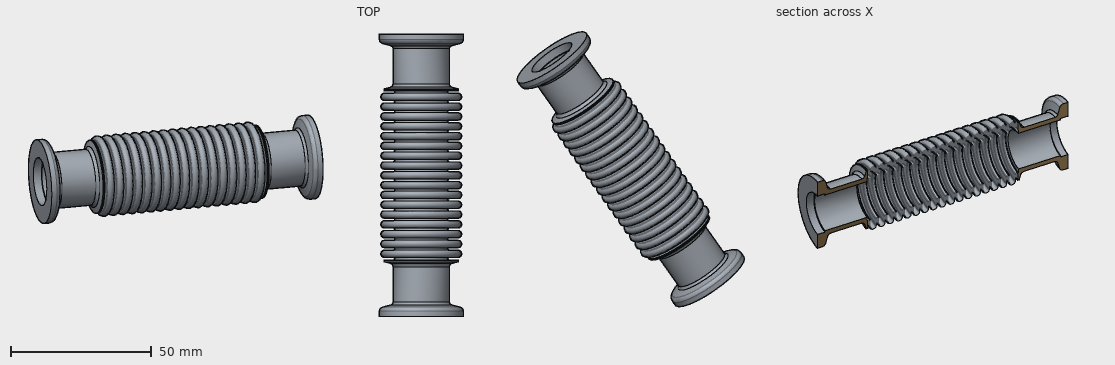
import cadquery as cq
import math

TOTAL_LENGTH = 100.4
BORE_RADIUS = 16.0 / 2

FLANGE_RADIUS = 30.0 / 2
FLANGE_RIM_FILLET = 1.5
TUBE_RADIUS = 20.1 / 2
TAPER_ANGLE = 15.0
TAPER = math.tan(math.radians(TAPER_ANGLE))
FLANGE_BACK_LENGTH = 4.4
FLANGE_FOOT_FILLET = 1.0
HUB_RADIUS = 26.3 / 2
HUB_RIM_LENGTH = 0.4
HUB_FOOT_FILLET = 1.2
FITTING_LENGTH = 19.9
RECESS_RADIUS = 17.2 / 2
RECESS_DEPTH = 3.0

WALL = 0.3
CONVOLUTION_COUNT = 17
CREST_RADIUS = 28.8 / 2
ROOT_RADIUS = 19.0 / 2
GROOVE_WIDTH = 0.8
BELLOWS_LENGTH = TOTAL_LENGTH - 2 * FITTING_LENGTH
GROOVE_COUNT = CONVOLUTION_COUNT + 1
CONVOLUTION_WIDTH = (BELLOWS_LENGTH - 2 * WALL - GROOVE_COUNT * GROOVE_WIDTH) / CONVOLUTION_COUNT
PITCH = CONVOLUTION_WIDTH + GROOVE_WIDTH

SELECTION_MARGIN = 0.01


def revolve_about_y(profile):
    return profile.close().revolve(360, (0, 0, 0), (0, 1, 0))


def circle_edges(body, radius, y):
    """Circular edges of the body with the given radius, lying in the plane at y."""
    return body.edges(
        cq.selectors.BoxSelector(
            (-radius - SELECTION_MARGIN, y - SELECTION_MARGIN, -radius - SELECTION_MARGIN),
            (radius + SELECTION_MARGIN, y + SELECTION_MARGIN, radius + SELECTION_MARGIN),
            boundingbox=True,
        )
    )


def make_fitting():
    """End fitting with its flange face at y = -TOTAL_LENGTH / 2."""
    face = -TOTAL_LENGTH / 2
    inner_end = face + FITTING_LENGTH
    flange_foot = face + FLANGE_BACK_LENGTH
    flange_edge = flange_foot - (FLANGE_RADIUS - TUBE_RADIUS) * TAPER
    hub_edge = inner_end - HUB_RIM_LENGTH
    hub_foot = hub_edge - (HUB_RADIUS - TUBE_RADIUS) * TAPER
    fitting = revolve_about_y(
        cq.Workplane("XY")
        .moveTo(RECESS_RADIUS, face)
        .lineTo(FLANGE_RADIUS, face)
        .lineTo(FLANGE_RADIUS, flange_edge)
        .lineTo(TUBE_RADIUS, flange_foot)
        .lineTo(TUBE_RADIUS, hub_foot)
        .lineTo(HUB_RADIUS, hub_edge)
        .lineTo(HUB_RADIUS, inner_end)
        .lineTo(BORE_RADIUS, inner_end)
        .lineTo(BORE_RADIUS, face + RECESS_DEPTH)
        .lineTo(RECESS_RADIUS, face + RECESS_DEPTH)
    )
    fitting = circle_edges(fitting, FLANGE_RADIUS, flange_edge).fillet(FLANGE_RIM_FILLET)
    fitting = circle_edges(fitting, TUBE_RADIUS, flange_foot).fillet(FLANGE_FOOT_FILLET)
    return circle_edges(fitting, TUBE_RADIUS, hub_foot).fillet(HUB_FOOT_FILLET)


def trace_skin(profile, offset, direction):
    """Follow one skin of the wall along Y, offset inward from the outside of the bellows.

    The direction is 1 towards +Y and -1 towards -Y. Crests and groove bottoms are half circles.
    """
    crest = CREST_RADIUS - offset
    crest_arc = CONVOLUTION_WIDTH / 2 - offset
    root = ROOT_RADIUS - offset
    root_arc = GROOVE_WIDTH / 2 + offset
    for index in range(GROOVE_COUNT):
        groove_center = direction * (index - CONVOLUTION_COUNT / 2) * PITCH
        groove_end = groove_center + direction * root_arc
        profile = profile.lineTo(root + root_arc, groove_center - direction * root_arc)
        profile = profile.threePointArc((root, groove_center), (root + root_arc, groove_end))
        if index < CONVOLUTION_COUNT:
            crest_end = groove_end + direction * 2 * crest_arc
            profile = profile.lineTo(crest - crest_arc, groove_end)
            profile = profile.threePointArc(
                (crest, groove_end + direction * crest_arc), (crest - crest_arc, crest_end)
            )
    return profile


def make_bellows():
    """Thin corrugated wall ending in flat rings flush with the hub rims."""
    end = BELLOWS_LENGTH / 2
    profile = cq.Workplane("XY").moveTo(HUB_RADIUS, -end).lineTo(HUB_RADIUS, WALL - end)
    profile = trace_skin(profile, 0, 1)
    profile = profile.lineTo(HUB_RADIUS, end - WALL).lineTo(HUB_RADIUS, end)
    profile = trace_skin(profile, WALL, -1)
    return revolve_about_y(profile)


bellows = make_bellows()
near_fitting = make_fitting()
far_fitting = near_fitting.mirror("XZ")

result = cq.Compound.makeCompound([bellows.val(), near_fitting.val(), far_fitting.val()])